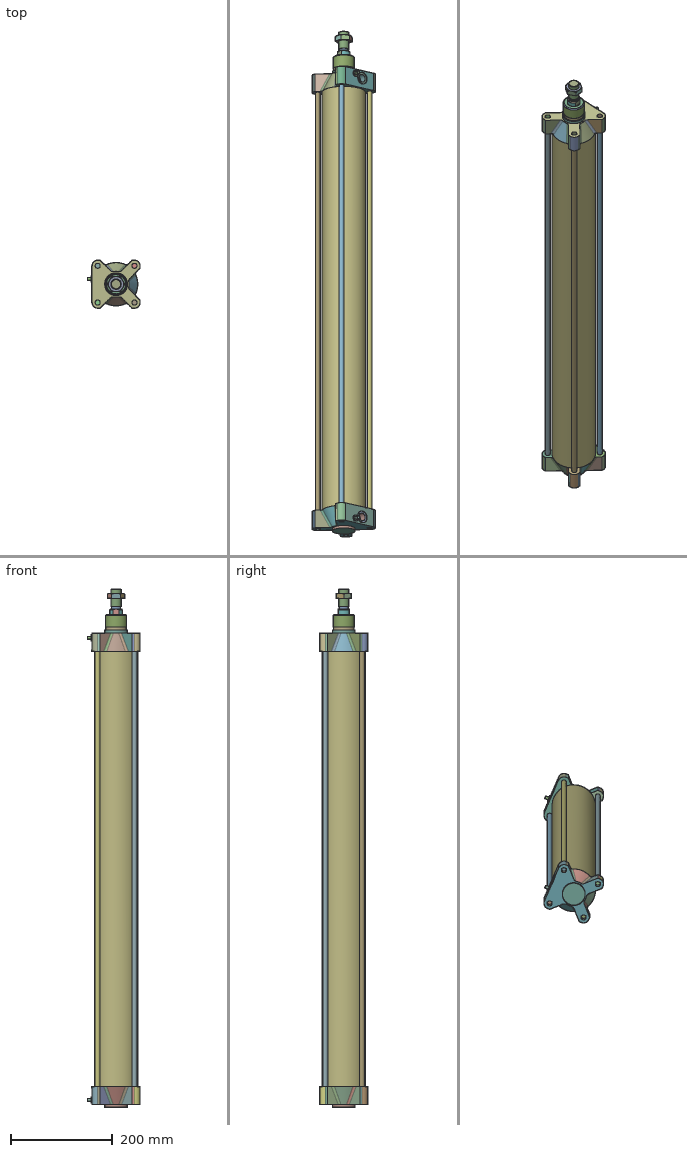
import cadquery as cq
import math

TOTAL_LENGTH = 1018.0
CAP_SIZE = 95.0
CAP_HEIGHT = 36.0
TIE_ROD_SPACING = 72.0
TIE_ROD_DIAMETER = 10.0
BARREL_DIAMETER = 86.0
SPIGOT_DIAMETER = 45.0
REAR_SPIGOT_HEIGHT = 5.0
FRONT_SPIGOT_HEIGHT = 6.0

GUIDE_DIAMETER = 42.0
GUIDE_CHAMFER = 2.0
GUIDE_GROOVE_DIAMETER = 41.0
GUIDE_GROOVE_WIDTH = 6.0

ARM_WIDTH = 22.0
ARM_FILLET = 5.0
SIDE_DRAFT = 0.5
HUB_TOP_DIAMETER = 51.0

MOUNT_HOLE_DIAMETER = 10.0
MOUNT_HOLE_DEPTH = 16.0

PORT_DIAMETER = 15.0
PORT_RECESS_DIAMETER = 23.0
PORT_RECESS_DEPTH = 1.0
PORT_DEPTH = 15.0
PORT_OFFSET_Y = -8.0
PORT_INSET = 15.0
SCREW_OFFSET_Y = 10.0
SCREW_INSET = 9.0
SCREW_FLANGE_DIAMETER = 12.0
SCREW_FLANGE_HEIGHT = 2.0
SCREW_DIAMETER = 6.0
SCREW_REACH = 9.0

ROD_DIAMETER = 25.0
ROD_FLAT_WIDTH = 22.0
THREAD_DIAMETER = 20.0
THREAD_LENGTH = 39.0
THREAD_CHAMFER = 1.0
UNDERCUT_DIAMETER = 18.0
UNDERCUT_LENGTH = 4.0
SHOULDER_CHAMFER = 2.0
FRONT_CAP_DROP = 87.0
GUIDE_DROP = 50.0

NUT_FLATS = 30.0
NUT_HEIGHT = 10.0
NUT_DROP = 8.0
NUT_CHAMFER = 2.0

cap_half = CAP_SIZE / 2
tie_rod_reach = TIE_ROD_SPACING / 2
corner_radius = cap_half - tie_rod_reach
rear_face_z = REAR_SPIGOT_HEIGHT
front_face_z = TOTAL_LENGTH - FRONT_CAP_DROP
mid_z = (rear_face_z + front_face_z) / 2
guide_top_z = TOTAL_LENGTH - GUIDE_DROP
barrel_top_z = front_face_z - CAP_HEIGHT
barrel_bottom_z = rear_face_z + CAP_HEIGHT
barrel_length = barrel_top_z - barrel_bottom_z
shoulder_z = TOTAL_LENGTH - THREAD_LENGTH
nut_top_z = TOTAL_LENGTH - NUT_DROP
nut_bottom_z = nut_top_z - NUT_HEIGHT


def cylinder_z(diameter, z, height):
    """Cylinder on the rod axis that starts at z."""
    return cq.Workplane("XY", origin=(0, 0, z)).circle(diameter / 2).extrude(height)


def cylinder_from_side(diameter, x, y, z, length):
    """Cylinder along +X that starts at x."""
    return cq.Workplane("YZ", origin=(x, y, z)).circle(diameter / 2).extrude(length)


def corner_cylinders(diameter, z, height):
    """Four cylinders on the tie rod axes."""
    return (
        cq.Workplane("XY", origin=(0, 0, z))
        .rect(TIE_ROD_SPACING, TIE_ROD_SPACING, forConstruction=True)
        .vertices()
        .circle(diameter / 2)
        .extrude(height)
    )


def cap_blank():
    """X-shaped block with one closed side at -X, standing on the barrel end."""
    base = cq.Workplane("XY", origin=(0, 0, barrel_top_z))
    square = base.rect(CAP_SIZE, CAP_SIZE).extrude(CAP_HEIGHT).edges("|Z").fillet(corner_radius)
    arm = base.rect(2 * CAP_SIZE, ARM_WIDTH).extrude(CAP_HEIGHT)
    closed_side = (
        base.polyline([(0, 0), (-CAP_SIZE, CAP_SIZE), (-CAP_SIZE, -CAP_SIZE)])
        .close()
        .extrude(CAP_HEIGHT)
    )
    web = closed_side
    for angle in (45, -45):
        web = web.union(arm.rotate((0, 0, 0), (0, 0, 1), angle))
    hub = (
        cq.Workplane("XZ")
        .polyline([
            (0, barrel_top_z),
            (BARREL_DIAMETER / 2, barrel_top_z),
            (HUB_TOP_DIAMETER / 2, front_face_z),
            (0, front_face_z),
        ])
        .close()
        .revolve(360, (0, 0, 0), (0, 1, 0))
    )
    blank = square.intersect(web).union(hub)
    blank = blank.edges("%HYPERBOLA").fillet(ARM_FILLET)
    drafted_side = (
        cq.Workplane("XZ", origin=(0, tie_rod_reach, 0))
        .polyline([
            (-cap_half - SIDE_DRAFT, barrel_top_z),
            (-tie_rod_reach, barrel_top_z),
            (-tie_rod_reach, front_face_z),
            (-cap_half, front_face_z),
        ])
        .close()
        .extrude(TIE_ROD_SPACING)
    )
    return blank.union(drafted_side)


def end_cap():
    """Front cap with its mounting holes, air port and cushion screw."""
    cap = cap_blank()
    holes = corner_cylinders(MOUNT_HOLE_DIAMETER, front_face_z - MOUNT_HOLE_DEPTH, MOUNT_HOLE_DEPTH)
    port_z = front_face_z - PORT_INSET
    outermost_x = -cap_half - SIDE_DRAFT
    recess = cylinder_from_side(
        PORT_RECESS_DIAMETER, outermost_x, PORT_OFFSET_Y, port_z, SIDE_DRAFT + PORT_RECESS_DEPTH
    )
    port = cylinder_from_side(PORT_DIAMETER, outermost_x, PORT_OFFSET_Y, port_z, SIDE_DRAFT + PORT_DEPTH)
    cap = cap.cut(holes).cut(recess).cut(port)

    screw_z = front_face_z - SCREW_INSET
    flange = cylinder_from_side(
        SCREW_FLANGE_DIAMETER, -cap_half - SCREW_FLANGE_HEIGHT, SCREW_OFFSET_Y, screw_z, SCREW_FLANGE_HEIGHT
    )
    screw_end_x = -cap_half - SCREW_REACH
    screw = cylinder_from_side(SCREW_DIAMETER, screw_end_x, SCREW_OFFSET_Y, screw_z, SCREW_REACH)
    return cap.union(flange).union(screw)


def rod_guide():
    guide = cylinder_z(GUIDE_DIAMETER, front_face_z, guide_top_z - front_face_z)
    guide = guide.faces(">Z").edges().chamfer(GUIDE_CHAMFER)
    spigot = cylinder_z(SPIGOT_DIAMETER, front_face_z, FRONT_SPIGOT_HEIGHT)
    groove_z = front_face_z + FRONT_SPIGOT_HEIGHT
    groove = cylinder_z(SPIGOT_DIAMETER, groove_z, GUIDE_GROOVE_WIDTH)
    groove = groove.cut(cylinder_z(GUIDE_GROOVE_DIAMETER, groove_z, GUIDE_GROOVE_WIDTH))
    return guide.cut(groove).union(spigot)


def make_housing():
    front_cap = end_cap()
    rear_cap = front_cap.mirror("XY", (0, 0, mid_z))
    barrel = cylinder_z(BARREL_DIAMETER, barrel_bottom_z, barrel_length)
    tie_rods = corner_cylinders(TIE_ROD_DIAMETER, barrel_bottom_z, barrel_length)
    rear_spigot = cylinder_z(SPIGOT_DIAMETER, 0, REAR_SPIGOT_HEIGHT)
    rod_bore = cylinder_z(ROD_DIAMETER, barrel_top_z, guide_top_z - barrel_top_z)
    housing = barrel.union(front_cap).union(rear_cap).union(tie_rods)
    return housing.union(rear_spigot).union(rod_guide()).cut(rod_bore)


def make_piston_rod():
    shank = cylinder_z(ROD_DIAMETER, guide_top_z, shoulder_z - guide_top_z)
    shank = shank.faces(">Z").edges().chamfer(SHOULDER_CHAMFER)
    between_flats = (
        cq.Workplane("XY", origin=(0, 0, guide_top_z))
        .rect(ROD_DIAMETER, ROD_FLAT_WIDTH)
        .extrude(shoulder_z - guide_top_z)
    )
    guided_shank = cylinder_z(ROD_DIAMETER, barrel_top_z, guide_top_z - barrel_top_z)
    shank = guided_shank.union(shank.intersect(between_flats))
    undercut = cylinder_z(UNDERCUT_DIAMETER, shoulder_z, UNDERCUT_LENGTH)
    thread = cylinder_z(
        THREAD_DIAMETER, shoulder_z + UNDERCUT_LENGTH, THREAD_LENGTH - UNDERCUT_LENGTH
    )
    thread = thread.faces(">Z").edges().chamfer(THREAD_CHAMFER)
    return shank.union(undercut).union(thread)


def make_lock_nut():
    across_corners = NUT_FLATS / math.cos(math.pi / 6)
    hexagon = cq.Workplane("XY", origin=(0, 0, nut_bottom_z)).polygon(6, across_corners).extrude(NUT_HEIGHT)
    corner_trim = cylinder_z(across_corners, nut_bottom_z, NUT_HEIGHT)
    corner_trim = corner_trim.faces(">Z").edges().chamfer(NUT_CHAMFER)
    return hexagon.intersect(corner_trim).cut(cylinder_z(THREAD_DIAMETER, nut_bottom_z, NUT_HEIGHT))


housing = make_housing()
piston_rod = make_piston_rod()
lock_nut = make_lock_nut()

result = cq.Compound.makeCompound([
    housing.solids().val(),
    piston_rod.solids().val(),
    lock_nut.solids().val(),
])